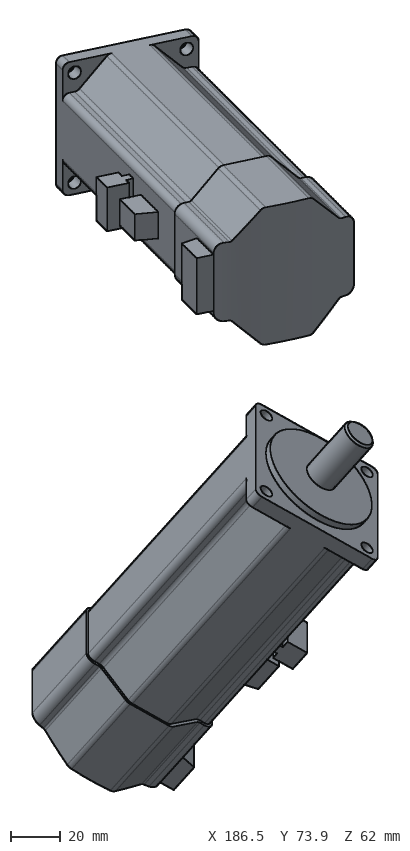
import cadquery as cq
import math

pilot_front = 27.0
flange_front = 30.0
flange_back = 36.5
cover_front = 145.7
cover_back = 186.5

shaft_diameter = 14.0
shaft_chamfer = 1.0
pilot_diameter = 50.0
flange_side = 60.0
flange_corner_radius = 3.0
hole_circle_diameter = 70.0
hole_diameter = 5.6
hole_pitch = hole_circle_diameter / math.sqrt(2)

housing_half = flange_side / 2
housing_kink = (23.5, 16.2)
housing_radius = 3.0

cover_half = 31.0
cover_kink = (24.0, 17.7)
cover_shoulder_radius = 3.2
cover_kink_radius = 1.5
cover_edge_radius = 4.1
cover_end_radius = 139.9

signal_start = 96.8
signal_end = 106.9
signal_stem_start = 100.2
signal_stem_end = 104.0
signal_stem_depth = 33.2
signal_depth = 42.9
signal_height = 19.8
power_start = 111.3
power_end_outer = 125.7
power_end_inner = 128.0
power_depth = 39.4
power_height = 12.0
encoder_start_inner = 167.0
encoder_start_outer = 168.6
encoder_end = 182.8
encoder_depth = 38.5
encoder_height = 25.4


def axial_plane(x):
    """Plane across the motor axis; its local axes are Y and Z."""
    return cq.Workplane("YZ", origin=(x, 0, 0))


def notched_prism(start, end, half, kink, shoulder_radius, kink_radius, edge_radius):
    """Square prism with four corners notched by a 45 degree slope and a flat step."""
    kink_y, kink_z = kink
    shoulder = kink_y + kink_z - half
    quarter = [(shoulder, half), (kink_y, kink_z), (half, kink_z)]
    right_half = quarter + [(y, -z) for y, z in reversed(quarter)]
    left_half = [(-y, -z) for y, z in right_half]
    prism = axial_plane(start).polyline(right_half + left_half).close().extrude(end - start)
    middle = (start + end) / 2
    radii = (shoulder_radius, kink_radius, edge_radius)
    for (y, z), radius in zip(quarter, radii):
        for side_y in (-1, 1):
            for side_z in (-1, 1):
                edge_point = (middle, side_y * y, side_z * z)
                prism = prism.edges(cq.selectors.NearestToPointSelector(edge_point)).fillet(radius)
    return prism


def side_block(outline, height):
    """Block with an X-Y outline, centred on Z = 0."""
    return cq.Workplane("XY").polyline(outline).close().extrude(height / 2, both=True)


def make_flange():
    flange = axial_plane(flange_front).rect(flange_side, flange_side).extrude(flange_back - flange_front)
    flange = flange.edges("|X").fillet(flange_corner_radius)
    holes = (
        axial_plane(flange_front)
        .rect(hole_pitch, hole_pitch, forConstruction=True)
        .vertices()
        .circle(hole_diameter / 2)
        .extrude(flange_back - flange_front)
    )
    return flange.cut(holes)


def make_shaft():
    shaft = axial_plane(0).circle(shaft_diameter / 2).extrude(flange_front)
    return shaft.faces("<X").chamfer(shaft_chamfer)


def make_signal_connector():
    """T-shaped connector on a narrow stem."""
    return side_block(
        [
            (signal_stem_start, -housing_half),
            (signal_stem_start, -signal_stem_depth),
            (signal_start, -signal_stem_depth),
            (signal_start, -signal_depth),
            (signal_end, -signal_depth),
            (signal_end, -signal_stem_depth),
            (signal_stem_end, -signal_stem_depth),
            (signal_stem_end, -housing_half),
        ],
        signal_height,
    )


def make_power_connector():
    """Connector with a sloped rear face."""
    return side_block(
        [
            (power_start, -housing_half),
            (power_start, -power_depth),
            (power_end_outer, -power_depth),
            (power_end_inner, -housing_half),
        ],
        power_height,
    )


def make_encoder_connector():
    """Connector with a sloped front face."""
    return side_block(
        [
            (encoder_start_inner, -cover_half),
            (encoder_start_outer, -encoder_depth),
            (encoder_end, -encoder_depth),
            (encoder_end, -cover_half),
        ],
        encoder_height,
    )


def make_motor():
    housing = notched_prism(
        flange_back, cover_front, housing_half, housing_kink,
        housing_radius, housing_radius, housing_radius,
    )
    pilot = axial_plane(pilot_front).circle(pilot_diameter / 2).extrude(flange_front - pilot_front)
    motor = make_flange().union(housing).union(pilot).union(make_shaft())
    return motor.union(make_signal_connector()).union(make_power_connector())


def make_encoder_cover():
    """Rear cover, its end rounded about a vertical axis."""
    cover = notched_prism(
        cover_front, cover_back, cover_half, cover_kink,
        cover_shoulder_radius, cover_kink_radius, cover_edge_radius,
    )
    end_cylinder = (
        cq.Workplane("XY")
        .center(cover_back - cover_end_radius, 0)
        .circle(cover_end_radius)
        .extrude(cover_half, both=True)
    )
    return cover.intersect(end_cylinder).union(make_encoder_connector())


motor = make_motor()
encoder_cover = make_encoder_cover()

result = cq.Compound.makeCompound([motor.solids().val(), encoder_cover.solids().val()])